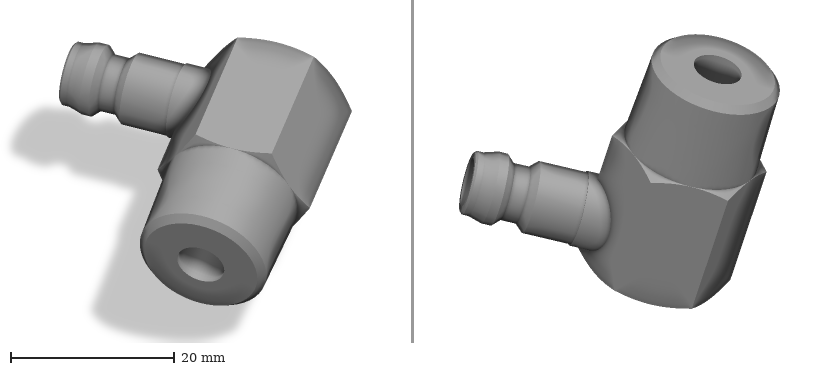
import cadquery as cq
import math


across_flats = 17.0
flat_radius = across_flats / 2
corner_radius = flat_radius / math.cos(math.radians(30))
hex_length = 17.95
back_to_branch = 5.82
chamfer_angle = 30
face_radius = 8.47
chamfer_depth = (corner_radius - face_radius) * math.tan(math.radians(chamfer_angle))
back_y = back_to_branch
shoulder_y = back_y - hex_length

total_depth = 30.0
spigot_length = total_depth - hex_length
spigot_end_y = back_y - total_depth
spigot_chamfer = 0.87
taper_per_side = 1 / 32

total_width = 34.87
tip_x = corner_radius - total_width
tip_radius = 4.0
tip_chamfer = 0.28
tip_land_end = 1.08
belt_start = 2.85
belt_end = 4.05
neck_start = 5.02
neck_end = 7.0
shank_start = 8.05
shank_end = 14.12
neck_radius = 3.6
shank_radius = 4.55
collar_radius = 4.7

bore_radius = 3.05


def revolve_about_y(points):
    """Solid of revolution about Y from (radius, y) points."""
    return cq.Workplane("XY").polyline(points).close().revolve(360, (0, 0), (0, 1))


def hex_body():
    prism = (
        cq.Workplane("XZ", origin=(0, back_y, 0))
        .polygon(6, 2 * corner_radius)
        .extrude(hex_length)
    )
    chamfer_envelope = revolve_about_y([
        (0, back_y),
        (face_radius, back_y),
        (corner_radius, back_y - chamfer_depth),
        (corner_radius, shoulder_y + chamfer_depth),
        (face_radius, shoulder_y),
        (0, shoulder_y),
    ])
    return prism.intersect(chamfer_envelope)


def spigot():
    def radius_at(distance):
        return flat_radius - distance * taper_per_side

    chamfer_start = spigot_length - spigot_chamfer
    rim_radius = radius_at(chamfer_start)
    return revolve_about_y([
        (0, shoulder_y),
        (radius_at(0), shoulder_y),
        (rim_radius, shoulder_y - chamfer_start),
        (rim_radius - spigot_chamfer, spigot_end_y),
        (0, spigot_end_y),
    ])


def nipple():
    profile = [
        (0, tip_radius - tip_chamfer),
        (tip_chamfer, tip_radius),
        (tip_land_end, tip_radius),
        (belt_start, shank_radius),
        (belt_end, shank_radius),
        (neck_start, neck_radius),
        (neck_end, neck_radius),
        (shank_start, shank_radius),
        (shank_end, shank_radius),
        (shank_end, collar_radius),
        (-tip_x, collar_radius),
    ]
    outline = [(tip_x, 0)]
    outline += [(tip_x + distance, radius) for distance, radius in profile]
    outline += [(0, 0)]
    return cq.Workplane("XY").polyline(outline).close().revolve(360, (0, 0), (1, 0))


def elbow_bore():
    main = (
        cq.Workplane("XZ", origin=(0, bore_radius, 0))
        .circle(bore_radius)
        .extrude(bore_radius - spigot_end_y)
    )
    branch = cq.Workplane("YZ", origin=(tip_x, 0, 0)).circle(bore_radius).extrude(-tip_x)
    return main.union(branch)


result = hex_body().union(spigot()).union(nipple()).cut(elbow_bore())